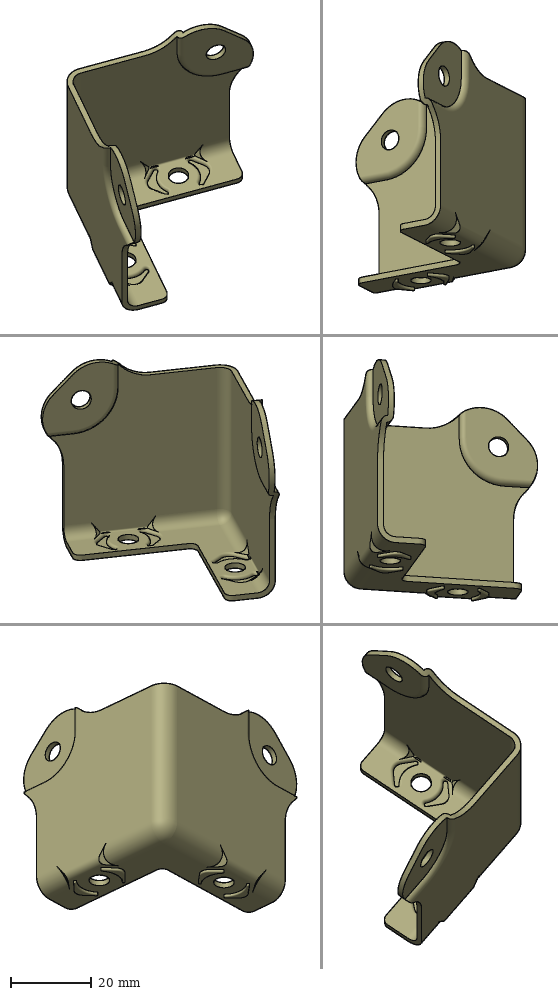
import cadquery as cq
import math

SHEET = 1.5
BEND_OUTER = 4.55
BEND_INNER = BEND_OUTER - SHEET
WALL = 43.8
FLANGE_WIDTH = 12.6
FLANGE_CORNER_R = 1.95
HOLE_DIA = 5.1

EAR_REACH = 49.6
EAR_LOBE_R = 9.0
EAR_LOBE_NEAR = 35.45
EAR_LOBE_FAR = EAR_REACH - EAR_LOBE_R
EAR_HOLE_POS = 39.65
JOGGLE_START = 29.95
JOGGLE_END = JOGGLE_START + SHEET
JOGGLE_CENTER = 41.5

FOOT_DROP = 0.8
FLANGE_HOLE_ALONG = 28.5
FLANGE_HOLE_IN = 6.55
FOOT_INNER_R = 5.5
FOOT_CAP_R = 0.55
FOOT_CAP_ANGLE = 40.0
FOOT_NOSE_R = 2.4
FOOT_REACH = 8.05
FOOT_RIM_R = 0.75
FOOT_EDGE_R = 0.3
FOOT_INSET = 0.2

POCKET_BEND_R = 1.9
POCKET_INNER_R = POCKET_BEND_R - SHEET
POCKET_SLOPE = 1.27
POCKET_HALF_OUTER = 4.75
POCKET_HALF_INNER = 3.5

DIAGONAL = cq.Vector(1, -1, 0)
COS_45 = math.sqrt(0.5)
LARGE = 100.8


def bent_shell():
    """Two walls and a floor of equal thickness, joined by rounded bends."""
    def rounded_cube(start, radius):
        cube = cq.Workplane("XY").box(WALL, WALL, WALL, centered=False)
        near_edges = cube.edges("(<X and <Y) or (<X and <Z) or (<Y and <Z)")
        return near_edges.fillet(radius).translate((start, start, start))

    return rounded_cube(0, BEND_OUTER).cut(rounded_cube(SHEET, BEND_INNER))


def flange_window():
    """Material removed from the floor to leave an L-shaped flange."""
    return (
        cq.Workplane("XY").rect(LARGE, LARGE, centered=False).extrude(SHEET)
        .edges("|Z and <X and <Y").fillet(FLANGE_CORNER_R)
        .translate((FLANGE_WIDTH, FLANGE_WIDTH, 0))
    )


def ear_outline():
    """Face of the ear in the wall plane, from the top edge round to the free side edge."""
    tangent_x = EAR_LOBE_NEAR - EAR_LOBE_R * COS_45
    tangent_z = EAR_LOBE_FAR + EAR_LOBE_R * COS_45
    blend_r = (tangent_z - WALL) / (1 - COS_45)
    blend_start = tangent_x - blend_r * COS_45
    half_turn = math.radians(45) / 2
    upper = [
        (blend_start, WALL),
        (blend_start + blend_r * math.sin(half_turn), WALL + blend_r * (1 - math.cos(half_turn))),
        (tangent_x, tangent_z),
        (EAR_LOBE_NEAR, EAR_REACH),
        (EAR_LOBE_NEAR + EAR_LOBE_R * COS_45, tangent_z),
    ]
    lower = [(z, x) for x, z in reversed(upper)]
    return (
        cq.Workplane("XZ").moveTo(*upper[0])
        .threePointArc(upper[1], upper[2])
        .threePointArc(upper[3], upper[4])
        .lineTo(*lower[0])
        .threePointArc(lower[1], lower[2])
        .threePointArc(lower[3], lower[4])
        .lineTo(blend_start, blend_start)
        .close()
    )


def ear_prism(depth):
    return ear_outline().extrude(-depth)


def pad_region(edge, y_start):
    """Upper far corner of the wall plane, beyond `edge`, with one rounded corner."""
    return (
        cq.Workplane("XZ").rect(LARGE, LARGE, centered=False).extrude(-SHEET)
        .edges("|Y and <X and <Z").fillet(JOGGLE_CENTER - edge)
        .translate((edge, y_start, edge))
    )


def joggle_bead():
    """The step between wall and pad: two quarter-round bends swept round the pad."""
    start, end, middle = JOGGLE_START, JOGGLE_END, JOGGLE_CENTER
    sweep_r = middle - start
    path = (
        cq.Workplane("XZ").moveTo(start, LARGE).lineTo(start, middle)
        .threePointArc((middle - sweep_r * COS_45, middle - sweep_r * COS_45), (middle, start))
        .lineTo(LARGE, start)
    )
    bulge = SHEET * COS_45
    section = (
        cq.Workplane("XY", origin=(0, 0, LARGE)).moveTo(start, 0)
        .threePointArc((start + bulge, SHEET - bulge), (end, SHEET))
        .lineTo(end, 2 * SHEET)
        .threePointArc((end - bulge, SHEET + bulge), (start, SHEET))
        .close()
    )
    return section.sweep(path)


def add_ear(body):
    """Extend the front wall by its ear and set the pad inward by one sheet thickness."""
    ear = ear_prism(2 * SHEET)
    step = joggle_bead().union(pad_region(JOGGLE_END, SHEET)).intersect(ear)
    hole = (
        cq.Workplane("XZ").center(EAR_HOLE_POS, EAR_HOLE_POS)
        .circle(HOLE_DIA / 2).extrude(-2 * SHEET)
    )
    wall = body.union(ear_prism(SHEET)).cut(pad_region(JOGGLE_START, 0))
    return wall.union(step).cut(hole)


def pocket_ends(half):
    """Prism between two sloping end planes, `half` being its half length at y + z = 0."""
    height = 2 * BEND_OUTER
    far_half = half + height * math.sqrt(2) / POCKET_SLOPE
    plane = cq.Plane(origin=(FLANGE_HOLE_ALONG, 0, 0), xDir=(1, 0, 0), normal=(0, -1, 1))
    return (
        cq.Workplane(plane)
        .polyline([(-half, 0), (half, 0), (far_half, height), (-far_half, height)]).close()
        .extrude(BEND_OUTER, both=True)
    )


def tighten_bend(body):
    """Press the bend out to a tight corner beside the hole, giving a flat seat around it."""
    outer, seat = BEND_OUTER, POCKET_BEND_R
    corner = (
        cq.Workplane("YZ").moveTo(outer, 0).lineTo(seat, 0)
        .threePointArc((seat * (1 - COS_45), seat * (1 - COS_45)), (0, seat))
        .lineTo(0, outer).lineTo(SHEET, outer)
        .threePointArc((outer - BEND_INNER * COS_45, outer - BEND_INNER * COS_45), (outer, SHEET))
        .close().extrude(LARGE)
        .intersect(pocket_ends(POCKET_HALF_OUTER))
    )
    hollow = (
        cq.Workplane("YZ").rect(BEND_INNER, BEND_INNER, centered=False).extrude(LARGE)
        .edges("|X and <Y and <Z").fillet(POCKET_INNER_R)
        .translate((0, SHEET, SHEET))
        .intersect(pocket_ends(POCKET_HALF_INNER))
    )
    return body.union(corner).cut(hollow)


def foot_prism(z_low, z_high, inset=0.0):
    """Crescent prism beside a hole at the origin, its back facing +X, shrunk all round by `inset`."""
    inner_r = FOOT_INNER_R + inset
    cap_r = FOOT_CAP_R - inset
    nose_r = FOOT_NOSE_R - inset
    reach = FOOT_REACH - inset
    cap_angle = math.radians(FOOT_CAP_ANGLE)
    cap_dist = inner_r + cap_r
    cap_x, cap_y = cap_dist * math.cos(cap_angle), cap_dist * math.sin(cap_angle)
    nose_x = reach - nose_r
    run = math.hypot(cap_x - nose_x, cap_y)
    normal = math.atan2(cap_y, cap_x - nose_x) - math.acos((nose_r - cap_r) / run)
    mid_normal = (normal + cap_angle + math.pi) / 2

    def on_circle(x, y, radius, angle):
        return (x + radius * math.cos(angle), y + radius * math.sin(angle))

    nose_end = on_circle(nose_x, 0, nose_r, normal)
    cap_start = on_circle(cap_x, cap_y, cap_r, normal)
    cap_mid = on_circle(cap_x, cap_y, cap_r, mid_normal)
    cap_end = on_circle(0, 0, inner_r, cap_angle)

    def mirrored(point):
        return (point[0], -point[1])

    return (
        cq.Workplane("XY", origin=(0, 0, z_low)).moveTo(*nose_end)
        .lineTo(*cap_start)
        .threePointArc(cap_mid, cap_end)
        .threePointArc((inner_r, 0), mirrored(cap_end))
        .threePointArc(mirrored(cap_mid), mirrored(cap_start))
        .lineTo(*mirrored(nose_end))
        .threePointArc((reach, 0), nose_end)
        .close().extrude(z_high - z_low)
    )


def add_feet(body):
    """Drill the flange hole and press a crescent foot down on each side of it."""
    center = (FLANGE_HOLE_ALONG, FLANGE_HOLE_IN, 0)
    floor = SHEET - FOOT_DROP
    boss = foot_prism(-FOOT_DROP, floor, FOOT_INSET).faces("<Z").edges().fillet(FOOT_EDGE_R)
    block = cq.Workplane("XY", origin=(0, 0, floor)).rect(LARGE, LARGE).extrude(FOOT_DROP)
    pierced = block.cut(foot_prism(floor, SHEET))
    beyond = 2 * FOOT_REACH
    near_hole = cq.selectors.BoxSelector((-beyond, -beyond, -beyond), (beyond, beyond, beyond))
    rim = pierced.faces(">Z").edges(near_hole)
    hollow = block.cut(rim.fillet(FOOT_RIM_R))
    inside = cq.Workplane("XY").box(LARGE, LARGE, LARGE, centered=(True, False, True))
    inside = inside.translate((0, SHEET, 0))
    for turn in (0, 180):
        body = body.union(boss.rotate((0, 0, 0), (0, 0, 1), turn).translate(center))
        placed = hollow.rotate((0, 0, 0), (0, 0, 1), turn).translate(center)
        body = body.cut(placed.intersect(inside))
    hole = cq.Workplane("XY").circle(HOLE_DIA / 2).extrude(SHEET).translate(center)
    return body.cut(hole)


def round_flange_tips(body):
    """Round the free corners at the two ends of the flange."""
    tip_edges = body.edges("|Z and (>X or >Y)").edges(cq.selectors.BoxSelector(
        (FLANGE_WIDTH - SHEET, FLANGE_WIDTH - SHEET, 0),
        (WALL + SHEET, WALL + SHEET, SHEET)))
    return tip_edges.fillet(FLANGE_CORNER_R)


def finish_front_wall(body):
    return add_feet(tighten_bend(add_ear(body)))


blank = round_flange_tips(bent_shell().cut(flange_window()))
one_wall = finish_front_wall(blank)
both_walls = finish_front_wall(one_wall.mirror(DIAGONAL))
result = both_walls.mirror(DIAGONAL)